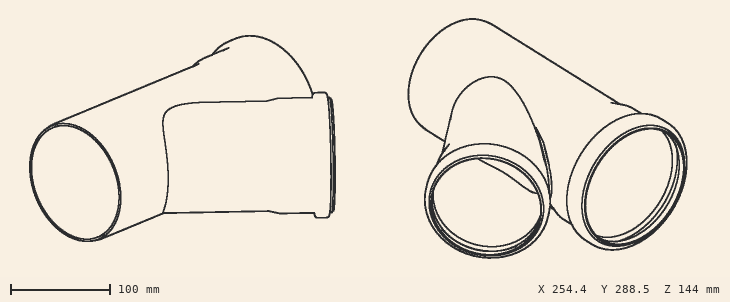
import cadquery as cq
import math

RUN_LENGTH = 288.5
BRANCH_ANGLE = 45.0
BRANCH_START = 85.7
BRANCH_LENGTH = 201.0

LIP_CHAMFER = 2.0
BEAD_FRONT = 4.3
BEAD_ROUND = 3.0
BEAD_ROOT = 1.7
LIP_ROOT = 0.5
TAPER_LENGTH = 11.3
SPIGOT_CHAMFER_LENGTH = 4.5
SPIGOT_CHAMFER_DEPTH = 1.0

WEB_THICKNESS = 3.0
WEB_RISE = 5.2
WEB_HALF_WIDTH = 55.5

RUN = dict(
    pipe=125.2,
    bore=119.0,
    socket=131.8,
    socket_bore=125.8,
    socket_length=57.5,
    bead=144.0,
    bead_back=20.8,
    groove=138.5,
)
BRANCH = dict(
    pipe=110.8,
    bore=104.7,
    socket=116.0,
    socket_bore=111.0,
    socket_length=53.7,
    bead=126.0,
    bead_back=18.8,
    groove=121.5,
)


def revolve_about_y(profile):
    return profile.close().revolve(360, (0, 0, 0), (0, 1, 0))


def outer_body(size, mouth):
    """Solid pipe with a flared, beaded socket, along +Y from the origin."""
    pipe, socket, bead = (size[name] / 2 for name in ("pipe", "socket", "bead"))
    front = mouth - BEAD_FRONT
    back = mouth - size["bead_back"]
    socket_end = mouth - size["socket_length"]
    arc_inset = 1 - math.sqrt(0.5)
    round_inset = BEAD_ROUND * arc_inset
    lip_inset = LIP_ROOT * arc_inset
    root_inset = BEAD_ROOT * arc_inset
    profile = (
        cq.Workplane("XY")
        .lineTo(pipe, 0)
        .lineTo(pipe, socket_end - TAPER_LENGTH)
        .lineTo(socket, socket_end)
        .lineTo(socket, back - BEAD_ROOT)
        .threePointArc((socket + root_inset, back - root_inset), (socket + BEAD_ROOT, back))
        .lineTo(bead - BEAD_ROUND, back)
        .threePointArc((bead - round_inset, back + round_inset), (bead, back + BEAD_ROUND))
        .lineTo(bead, front - BEAD_ROUND)
        .threePointArc((bead - round_inset, front - round_inset), (bead - BEAD_ROUND, front))
        .lineTo(socket + LIP_ROOT, front)
        .threePointArc((socket + lip_inset, front + lip_inset), (socket, front + LIP_ROOT))
        .lineTo(socket, mouth - LIP_CHAMFER)
        .lineTo(socket - LIP_CHAMFER, mouth)
        .lineTo(0, mouth)
    )
    return revolve_about_y(profile)


def inner_bore(size, mouth):
    """Hollow of the pipe, with the wider socket and its seal groove."""
    bore, socket_bore, groove = (size[name] / 2 for name in ("bore", "socket_bore", "groove"))
    wall = (size["bead"] - size["groove"]) / 2
    groove_front = mouth - BEAD_FRONT - wall
    groove_back = mouth - size["bead_back"] + wall
    socket_end = mouth - size["socket_length"]
    profile = (
        cq.Workplane("XY")
        .lineTo(bore, 0)
        .lineTo(bore, socket_end - TAPER_LENGTH)
        .lineTo(socket_bore, socket_end)
        .lineTo(socket_bore, groove_back)
        .lineTo(groove, groove_back)
        .lineTo(groove, groove_front)
        .lineTo(socket_bore, groove_front)
        .lineTo(socket_bore, mouth)
        .lineTo(0, mouth)
    )
    return revolve_about_y(profile)


def place_branch(shape):
    return shape.rotate((0, 0, 0), (0, 0, 1), -BRANCH_ANGLE).translate((0, BRANCH_START, 0))


def spigot_chamfer():
    """Ring removed to bevel the plain end of the run."""
    radius = RUN["pipe"] / 2
    profile = (
        cq.Workplane("XY")
        .moveTo(radius - SPIGOT_CHAMFER_DEPTH, 0)
        .lineTo(radius, 0)
        .lineTo(radius, SPIGOT_CHAMFER_LENGTH)
    )
    return revolve_about_y(profile)


def crotch_web():
    """Half-elliptical plate through the axis crossing and the joint of the sockets."""
    angle = math.radians(BRANCH_ANGLE)
    joint_x = RUN["socket"] / 2
    joint_y = joint_x / math.tan(angle) + BRANCH["socket"] / 2 / math.sin(angle)
    plane = cq.Plane(
        origin=(0, BRANCH_START, 0),
        xDir=(joint_x, joint_y, 0),
        normal=(joint_y, -joint_x, 0),
    )
    reach = math.hypot(joint_x, joint_y) + WEB_RISE
    return (
        cq.Workplane(plane)
        .moveTo(0, -WEB_HALF_WIDTH)
        .ellipseArc(reach, WEB_HALF_WIDTH, -90, 90, startAtCurrent=True)
        .close()
        .extrude(WEB_THICKNESS / 2, both=True)
    )


run_body = outer_body(RUN, RUN_LENGTH)
branch_body = place_branch(outer_body(BRANCH, BRANCH_LENGTH))
body = run_body.union(branch_body)
body = body.union(crotch_web())
body = body.cut(spigot_chamfer())
bores = inner_bore(RUN, RUN_LENGTH).union(place_branch(inner_bore(BRANCH, BRANCH_LENGTH)))
result = body.cut(bores)